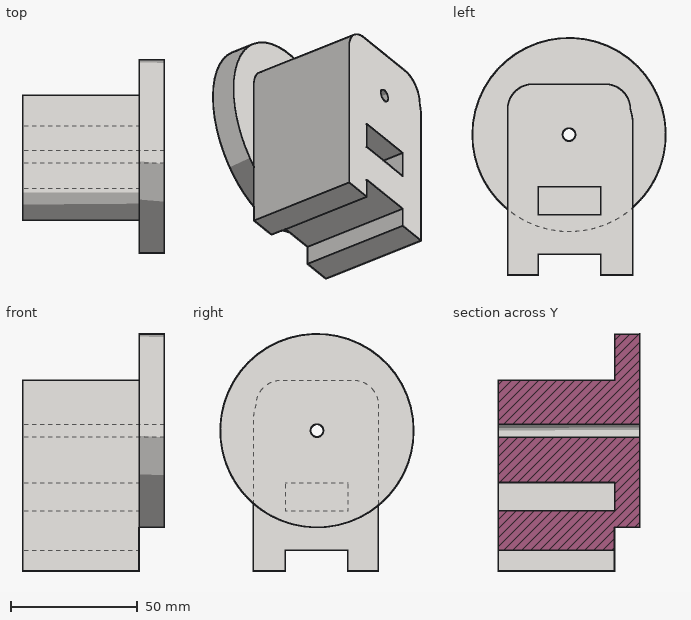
import cadquery as cq

flange_diameter = 76.5
flange_thickness = 10.0
body_length = 46.0
total_height = 93.7
body_top = 20.0
left_side = 24.3
right_side = -25.2
corner_radius = 10.0
bulge_radius = 18.7
bulge_height = 5.4
bore_diameter = 5.0

opening_width = 24.65
opening_center = -0.2
window_top = -20.5
window_height = 11.1
slot_depth = 8.2

flange_radius = flange_diameter / 2
body_bottom = flange_radius - total_height
shoulder_height = body_top - corner_radius
corner_end = -left_side
cut_length = body_length + flange_thickness


def end_plane():
    """Sketch plane on the free end of the body: local x is Y, local y is Z."""
    return cq.Workplane("YZ", origin=(-body_length, 0, 0))


def make_body():
    """Block with two rounded top corners and a shallow curved step below the right one."""
    return (
        end_plane()
        .moveTo(left_side, body_bottom)
        .lineTo(left_side, shoulder_height)
        .radiusArc((left_side - corner_radius, body_top), -corner_radius)
        .lineTo(corner_end + corner_radius, body_top)
        .radiusArc((corner_end, shoulder_height), -corner_radius)
        .radiusArc((right_side, shoulder_height - bulge_height), -bulge_radius)
        .lineTo(right_side, body_bottom)
        .close()
        .extrude(body_length)
    )


def make_opening(bottom, height):
    """Rectangular cutter running the length of the body, up to the flange."""
    return (
        end_plane()
        .center(opening_center, bottom + height / 2)
        .rect(opening_width, height)
        .extrude(body_length)
    )


flange = cq.Workplane("YZ").circle(flange_radius).extrude(flange_thickness)
bore = end_plane().circle(bore_diameter / 2).extrude(cut_length)

body = make_body()
body = body.cut(make_opening(window_top - window_height, window_height))
body = body.cut(make_opening(body_bottom, slot_depth))

result = body.union(flange).cut(bore)